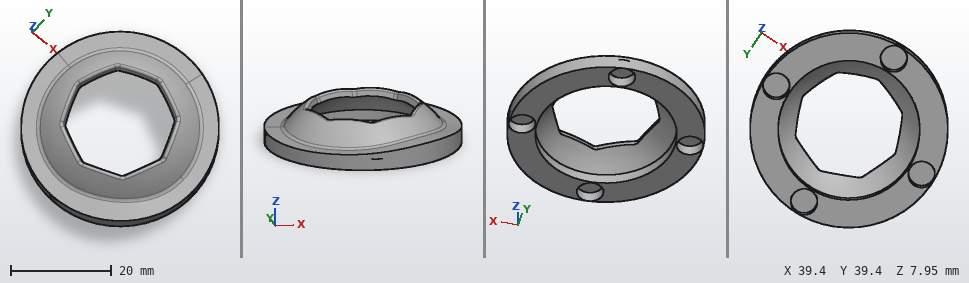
import cadquery as cq
import math

FLANGE_RADIUS = 39.4 / 2
BORE_RADIUS = 14.1
FLANGE_HEIGHT = 3.1
BLANK_HEIGHT = 2 * FLANGE_HEIGHT

LEVEL_START = 74
LEVEL_END = 169
WAVE_POINTS = [
    (196, 3.06), (217, 2.96), (238, 3.08), (260, 3.4), (280, 3.94), (295, 4.27), (307, 4.29),
    (322, 4.04), (338, 3.55), (355, 3.22), (375, 3.12), (405, 3.12),
]

DOME_RADIUS = 19.8
DOME_CENTER = (0.1, -0.15, -8.43)
DOME_BASE_Z = 2.2
DOME_FILLET = 0.95
CAVITY_RADIUS = 16.9
CAVITY_CENTER_Z = DOME_BASE_Z - math.sqrt(CAVITY_RADIUS**2 - BORE_RADIUS**2)

OPENING_SIDES = 8
OPENING_ANGLE = -2.4
OPENING_BASE_Z = 5.0
OPENING_CIRCUMRADIUS = 10.6
OPENING_DRAFT = 20.0
OPENING_DEPTH = 8.0
OPENING_CORNER_RADIUS = 1.3
OPENING_EDGE_FILLET = 0.5

POCKET_COUNT = 4
POCKET_DIAMETER = 5.3
POCKET_DEPTH = 2.3
POCKET_OUTER_WALL = 0.05
POCKET_CIRCLE_RADIUS = FLANGE_RADIUS - POCKET_OUTER_WALL - POCKET_DIAMETER / 2
POCKET_ANGLE = -3.1

OVERLAP = 3.0
TOLERANCE = 0.01


def polar(radius, angle, z):
    """Point at a radius, an angle in degrees and a height."""
    a = math.radians(angle)
    return cq.Vector(radius * math.cos(a), radius * math.sin(a), z)


def wave_edges(radius):
    """Closed outline of the flange top at one radius: a level arc and a wave."""
    start = polar(radius, LEVEL_START, FLANGE_HEIGHT)
    middle = polar(radius, (LEVEL_START + LEVEL_END) / 2, FLANGE_HEIGHT)
    end = polar(radius, LEVEL_END, FLANGE_HEIGHT)
    wave = [end] + [polar(radius, angle, z) for angle, z in WAVE_POINTS] + [start]
    tangents = [polar(1, angle + 90, 0) for angle in (LEVEL_END, LEVEL_START)]
    return [cq.Edge.makeThreePointArc(start, middle, end), cq.Edge.makeSpline(wave, tangents)]


def make_flange():
    """Disc whose top face has radial level rulings following the wave."""
    outer = FLANGE_RADIUS + OVERLAP
    inner = BORE_RADIUS - OVERLAP
    drop = cq.Vector(0, 0, -BLANK_HEIGHT)
    disc = cq.Workplane().circle(FLANGE_RADIUS).circle(BORE_RADIUS).extrude(BLANK_HEIGHT)
    faces = [cq.Face.makeRuledSurface(a, b) for a, b in zip(wave_edges(inner), wave_edges(outer))]
    prisms = [cq.Workplane(cq.Solid.extrudeLinear(face, drop)) for face in faces]
    return disc.intersect(prisms[0].union(prisms[1]))


def make_dome():
    """Spherical dome standing on the flange."""
    above = cq.Workplane(origin=(0, 0, DOME_BASE_Z)).circle(FLANGE_RADIUS).extrude(DOME_RADIUS)
    return cq.Workplane().sphere(DOME_RADIUS).translate(DOME_CENTER).intersect(above)


def make_cavity():
    """Bore and the spherical hollow above it."""
    hollow = cq.Workplane().sphere(CAVITY_RADIUS).translate((0, 0, CAVITY_CENTER_Z))
    above = cq.Workplane(origin=(0, 0, DOME_BASE_Z)).circle(FLANGE_RADIUS).extrude(CAVITY_RADIUS)
    bore = cq.Workplane().circle(BORE_RADIUS).extrude(DOME_BASE_Z)
    return hollow.intersect(above).union(bore)


def make_opening():
    """Octagonal cutter, wider towards the top, with rounded corners."""
    top_circumradius = OPENING_CIRCUMRADIUS + OPENING_DEPTH * math.tan(math.radians(OPENING_DRAFT))
    cutter = (
        cq.Workplane(origin=(0, 0, OPENING_BASE_Z))
        .polygon(OPENING_SIDES, 2 * OPENING_CIRCUMRADIUS)
        .workplane(offset=OPENING_DEPTH)
        .polygon(OPENING_SIDES, 2 * top_circumradius)
        .loft(ruled=True)
        .rotate((0, 0, 0), (0, 0, 1), OPENING_ANGLE)
    )
    return cutter.edges("not #Z").fillet(OPENING_CORNER_RADIUS)


def make_pockets():
    """Ring of round blind pockets rising from the underside."""
    return (
        cq.Workplane()
        .polarArray(POCKET_CIRCLE_RADIUS, POCKET_ANGLE, 360, POCKET_COUNT)
        .circle(POCKET_DIAMETER / 2)
        .extrude(POCKET_DEPTH)
    )


def on_dome(point):
    """True where a point lies on the outer sphere of the dome."""
    return abs((point - cq.Vector(DOME_CENTER)).Length - DOME_RADIUS) < TOLERANCE


def dome_edges(body, lowest, highest):
    """Edges that lie on the dome sphere within a height range, leaving out its seam."""
    edges = []
    for edge in body.edges("not %CIRCLE").vals():
        samples = [edge.positionAt(t) for t in (0, 0.25, 0.5, 0.75, 1)]
        if all(on_dome(p) and lowest < p.z < highest for p in samples):
            edges.append(edge)
    return body.newObject(edges)


body = make_flange().union(make_dome())
body = dome_edges(body, DOME_BASE_Z + TOLERANCE, OPENING_BASE_Z).fillet(DOME_FILLET)
body = body.cut(make_cavity()).cut(make_opening())
body = dome_edges(body, OPENING_BASE_Z, DOME_RADIUS).fillet(OPENING_EDGE_FILLET)
result = body.cut(make_pockets())